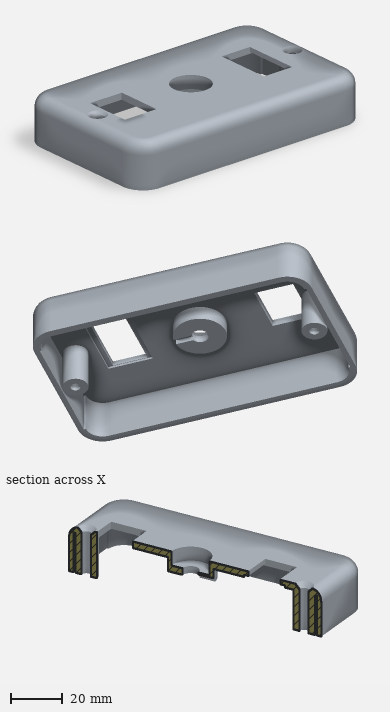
import cadquery as cq

WIDTH = 69.85
LENGTH = 114.3
HEIGHT = 20.0
CORNER_RADIUS = 10.0
TOP_EDGE_RADIUS = 5.0

WALL = 3.0
PLATE_THICKNESS = 3.0
CAVITY_HEIGHT = HEIGHT - PLATE_THICKNESS
CAVITY_LENGTH = LENGTH - 2 * WALL

END_RELIEF_DEPTH = 0.8
END_RELIEF_WIDTH = 50.1

SCREW_END_DISTANCE = 7.9
SCREW_SPACING = LENGTH - 2 * SCREW_END_DISTANCE
SCREW_HOLE_DIAMETER = 4.0
SCREW_HEAD_DIAMETER = 8.0
SCREW_HEAD_DEPTH = 2.0
SCREW_BOSS_DIAMETER = 10.0
SCREW_BOSS_BOTTOM_Z = 0.0
SCREW_POSITIONS = [(0, SCREW_SPACING / 2), (0, -SCREW_SPACING / 2)]

MOUNT_END_DISTANCE = 55.1
MOUNT_POSITION = (0, MOUNT_END_DISTANCE - LENGTH / 2)
MOUNT_HOLE_DIAMETER = 7.0
MOUNT_HEAD_DIAMETER = 17.0
MOUNT_HEAD_DEPTH = 6.0
MOUNT_BOSS_WALL = 2.0
MOUNT_BOSS_DIAMETER = MOUNT_HEAD_DIAMETER + 2 * MOUNT_BOSS_WALL
MOUNT_FLOOR_THICKNESS = 3.0
MOUNT_SEAT_Z = HEIGHT - MOUNT_HEAD_DEPTH
MOUNT_BOSS_BOTTOM_Z = MOUNT_SEAT_Z - MOUNT_FLOOR_THICKNESS

SLOT_WIDTH = 2.7
SLOT_ROOF_THICKNESS = 1.0

UPPER_WINDOW = (25.5, 14.3, 31.3)
LOWER_WINDOW = (21.0, 16.0, -36.25)

WINDOW_RELIEF_DEPTH = 0.9
WINDOW_RELIEF_SIDE_MARGIN = 0.2
WINDOW_RELIEF_END_MARGIN = 2.0


def rounded_block(width, length, height, corner_radius):
    """Block standing on Z = 0 with rounded vertical corners."""
    block = cq.Workplane("XY").rect(width, length).extrude(height)
    return block.edges("|Z").fillet(corner_radius)


def hollow_cover():
    """Cover with a rounded top edge and an open bottom."""
    outside = rounded_block(WIDTH, LENGTH, HEIGHT, CORNER_RADIUS)
    outside = outside.faces(">Z").edges().fillet(TOP_EDGE_RADIUS)
    cavity = rounded_block(
        WIDTH - 2 * WALL,
        CAVITY_LENGTH,
        CAVITY_HEIGHT,
        CORNER_RADIUS - WALL,
    )
    end_reliefs = (
        cq.Workplane("XY")
        .rect(END_RELIEF_WIDTH, CAVITY_LENGTH + 2 * END_RELIEF_DEPTH)
        .extrude(CAVITY_HEIGHT)
    )
    return outside.cut(cavity).cut(end_reliefs)


def bosses(points, diameter, bottom_z):
    """Round bosses from bottom_z up to the underside of the plate."""
    return (
        cq.Workplane("XY", origin=(0, 0, bottom_z))
        .pushPoints(points)
        .circle(diameter / 2)
        .extrude(CAVITY_HEIGHT - bottom_z)
    )


def cut_window(body, window):
    """Cut a rectangular window through the plate only."""
    width, length, center_y = window
    cutter = (
        cq.Workplane("XY", origin=(0, center_y, CAVITY_HEIGHT))
        .rect(width, length)
        .extrude(PLATE_THICKNESS)
    )
    return body.cut(cutter)


def cut_window_relief(body, window):
    """Thin the plate from below around a window."""
    width, length, center_y = window
    cutter = (
        cq.Workplane("XY", origin=(0, center_y, CAVITY_HEIGHT))
        .rect(width + 2 * WINDOW_RELIEF_SIDE_MARGIN, length + 2 * WINDOW_RELIEF_END_MARGIN)
        .extrude(WINDOW_RELIEF_DEPTH)
    )
    return body.cut(cutter)


def cut_screw_holes(body):
    """Cut the countersunk cover screw holes from the top, right through."""
    countersink = (
        cq.Workplane("XY", origin=(0, 0, HEIGHT - SCREW_HEAD_DEPTH))
        .circle(SCREW_HOLE_DIAMETER / 2)
        .workplane(offset=SCREW_HEAD_DEPTH)
        .circle(SCREW_HEAD_DIAMETER / 2)
        .loft()
    )
    shank = cq.Workplane("XY").circle(SCREW_HOLE_DIAMETER / 2).extrude(HEIGHT)
    cutter = shank.union(countersink)
    for x, y in SCREW_POSITIONS:
        body = body.cut(cutter.translate((x, y, 0)))
    return body


def cut_mount_hole(body):
    """Cut the counterbored mounting hole from the top, right through."""
    shank = cq.Workplane("XY").circle(MOUNT_HOLE_DIAMETER / 2).extrude(HEIGHT)
    counterbore = (
        cq.Workplane("XY", origin=(0, 0, MOUNT_SEAT_Z))
        .circle(MOUNT_HEAD_DIAMETER / 2)
        .extrude(MOUNT_HEAD_DEPTH)
    )
    x, y = MOUNT_POSITION
    return body.cut(shank.union(counterbore).translate((x, y, 0)))


def cut_mount_slot(body):
    """Cut the slot into the underside of the mounting boss floor."""
    slot_length = MOUNT_BOSS_DIAMETER / 2
    slot_depth = MOUNT_FLOOR_THICKNESS - SLOT_ROOF_THICKNESS
    x, y = MOUNT_POSITION
    cutter = (
        cq.Workplane("XY", origin=(x, y + slot_length / 2, MOUNT_BOSS_BOTTOM_Z))
        .rect(SLOT_WIDTH, slot_length)
        .extrude(slot_depth)
    )
    return body.cut(cutter)


cover = hollow_cover()
cover = cover.union(bosses(SCREW_POSITIONS, SCREW_BOSS_DIAMETER, SCREW_BOSS_BOTTOM_Z))
cover = cover.union(bosses([MOUNT_POSITION], MOUNT_BOSS_DIAMETER, MOUNT_BOSS_BOTTOM_Z))
cover = cut_window(cover, UPPER_WINDOW)
cover = cut_window(cover, LOWER_WINDOW)
cover = cut_window_relief(cover, UPPER_WINDOW)
cover = cut_screw_holes(cover)
cover = cut_mount_hole(cover)
result = cut_mount_slot(cover)